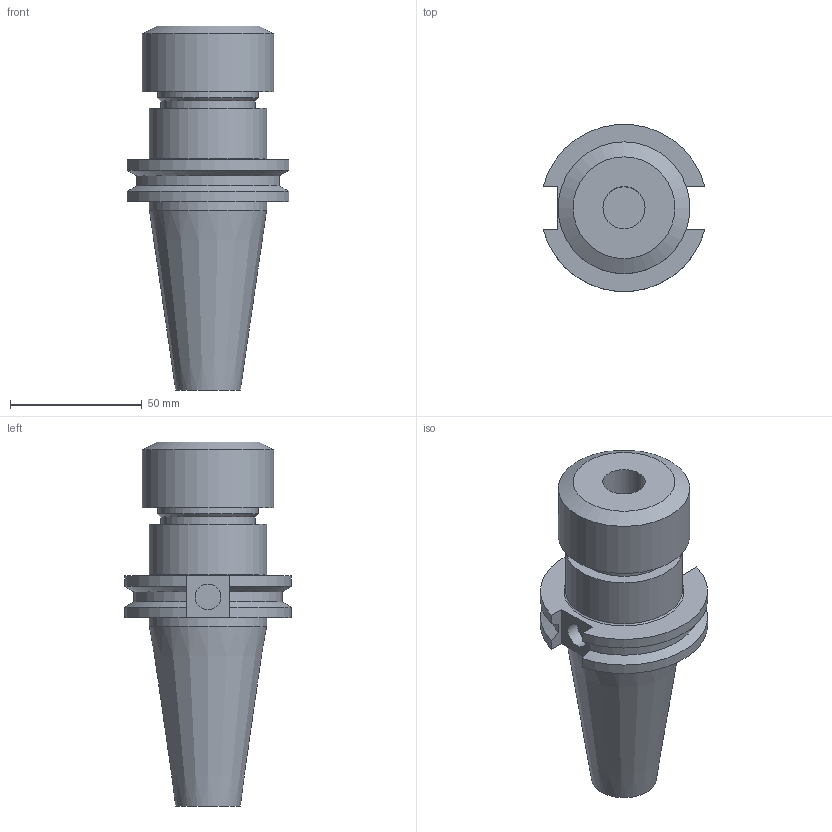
import cadquery as cq
import math


gauge_dia = 44.45
taper_length = 68.25
taper_ratio = 7 / 24
small_end_dia = gauge_dia - taper_ratio * taper_length

flange_dia = 63.5
flange_bottom_z = 3.175
flange_thickness = 15.875
flange_top_z = flange_bottom_z + flange_thickness
flange_middle_z = flange_bottom_z + flange_thickness / 2
groove_root_dia = 56.36
groove_root_width = 3.8
groove_flank_angle = 30
groove_flank_height = (flange_dia - groove_root_dia) / 2 * math.tan(math.radians(groove_flank_angle))

projection = 69.85
body_dia = gauge_dia
body_foot_fillet = 0.6
body_top_z = 38.6
neck_dia = 35.8
thread_dia = 38.1
neck_top_z = 41.4
thread_bottom_z = neck_top_z + (thread_dia - neck_dia) / 2
nut_dia = 50.0
nut_bottom_z = 44.9
nut_face_dia = 38.6
nut_chamfer_height = 3.0

bore_dia = 16.0
bore_depth = 40.0

slot_width = 16.38
slot_floor_left = 25.2
slot_floor_right = 23.0

slot_hole_dia = 9.7
slot_hole_depth = 5.0


def make_turned_body():
    """Revolve the half profile of the holder about Z."""
    groove_low_z = flange_middle_z - groove_root_width / 2
    groove_high_z = flange_middle_z + groove_root_width / 2
    flange_r = flange_dia / 2
    groove_r = groove_root_dia / 2
    body_r = body_dia / 2
    profile = (
        cq.Workplane("XZ")
        .moveTo(0, -taper_length)
        .lineTo(small_end_dia / 2, -taper_length)
        .lineTo(gauge_dia / 2, 0)
        .lineTo(gauge_dia / 2, flange_bottom_z)
        .lineTo(flange_r, flange_bottom_z)
        .lineTo(flange_r, groove_low_z - groove_flank_height)
        .lineTo(groove_r, groove_low_z)
        .lineTo(groove_r, groove_high_z)
        .lineTo(flange_r, groove_high_z + groove_flank_height)
        .lineTo(flange_r, flange_top_z)
        .lineTo(body_r + body_foot_fillet, flange_top_z)
        .radiusArc((body_r, flange_top_z + body_foot_fillet), body_foot_fillet)
        .lineTo(body_r, body_top_z)
        .lineTo(neck_dia / 2, body_top_z)
        .lineTo(neck_dia / 2, neck_top_z)
        .lineTo(thread_dia / 2, thread_bottom_z)
        .lineTo(thread_dia / 2, nut_bottom_z)
        .lineTo(nut_dia / 2, nut_bottom_z)
        .lineTo(nut_dia / 2, projection - nut_chamfer_height)
        .lineTo(nut_face_dia / 2, projection)
        .lineTo(0, projection)
        .close()
    )
    return profile.revolve(360, (0, 0, 0), (0, 1, 0))


def make_bore():
    bottom = cq.Workplane("XY").workplane(offset=projection - bore_depth)
    return bottom.circle(bore_dia / 2).extrude(bore_depth)


def make_drive_slot(side, floor):
    """Box that opens one side of the flange (side = -1 or +1 along X) down to the slot floor."""
    length = flange_dia / 2
    return (
        cq.Workplane("XY")
        .workplane(offset=flange_bottom_z)
        .center(side * (floor + length / 2), 0)
        .rect(length, slot_width)
        .extrude(flange_thickness)
    )


def make_slot_hole():
    return (
        cq.Workplane("YZ")
        .workplane(offset=-slot_floor_left)
        .center(0, flange_middle_z)
        .circle(slot_hole_dia / 2)
        .extrude(slot_hole_depth)
    )


result = make_turned_body().cut(make_bore())
for side, floor in ((-1, slot_floor_left), (1, slot_floor_right)):
    result = result.cut(make_drive_slot(side, floor))
result = result.cut(make_slot_hole())